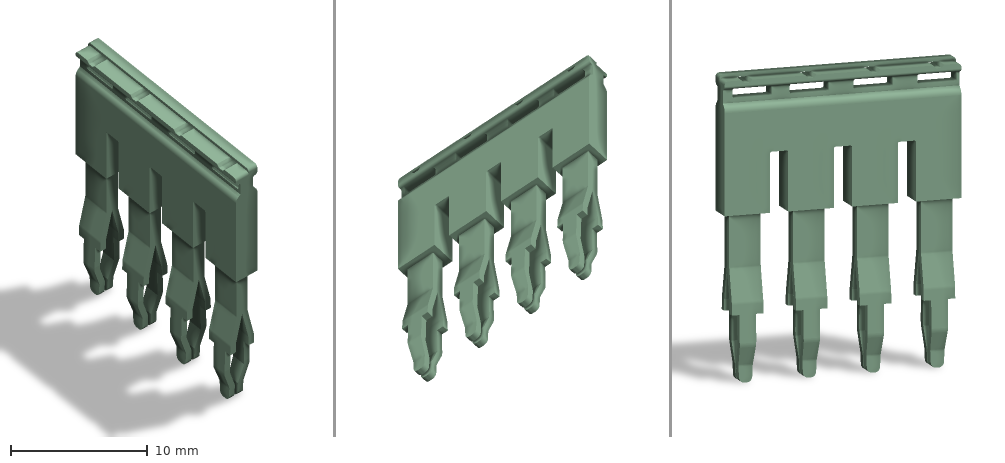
import cadquery as cq

length = 18.33
height = 23.03
tine_count = 4
tine_pitch = 4.95
first_tine_x = -tine_pitch * (tine_count - 1) / 2
tine_xs = [first_tine_x + i * tine_pitch for i in range(tine_count)]

housing_width = 2.03
housing_bottom = 12.67
neck_width = 1.2
ridge_width = 0.83
ledge_top = height - 0.25
head_bottom = height - 0.88
head_edge_radius = 0.23
head_corner_radius = 0.28
neck_bottom = height - 1.98
shoulder_slope = 0.15
shoulder_bottom = height - 2.63

cut_depth = 2 * housing_width

slot_width = 1.4
slot_top = height - 5.78
slot_corner_radius = 0.14

window_length = 3.02
window_height = 0.78
window_corner_radius = 0.14
first_window_shift = 0.53
window_xs = [tine_xs[0] + first_window_shift] + tine_xs[1:]

notch_top_width = 0.85
notch_floor_width = 0.41
notch_depth = 0.23

strip_thickness = 0.53
shank_half_width = strip_thickness
split_z = 8.64
upper_bend_half_width = 2.23 / 2
upper_bend_z = 6.08
belly_half_width = 2.42 / 2
belly_z = 2.9
tip_half_gap = 0.14
tip_half_width = tip_half_gap + strip_thickness
tip_bend_z = 1.31
bulge_radius = 0.92
return_bend_radius = 0.45

tine_width = 2.45
tine_shoulder_z = 5.2
prong_width = 1.3
taper_top_z = 3.25
tip_width = 1.0
tip_radius = 0.41


def make_housing():
    """Headed bar running along X, with a neck that is alike on both sides."""
    half = housing_width / 2
    neck = neck_width / 2
    neck_radius = half - neck - head_edge_radius
    slope_y = neck + shoulder_slope
    slope_z = neck_bottom - shoulder_slope
    profile = (
        cq.Workplane("YZ")
        .moveTo(0, housing_bottom)
        .lineTo(half, housing_bottom)
        .lineTo(half, shoulder_bottom)
        .tangentArcPoint((slope_y, slope_z), relative=False)
        .lineTo(neck, neck_bottom)
        .lineTo(neck, head_bottom - neck_radius)
        .tangentArcPoint((neck + neck_radius, head_bottom), relative=False)
        .tangentArcPoint((half, head_bottom + head_edge_radius), relative=False)
        .lineTo(half, height)
        .lineTo(0, height)
        .close()
    )
    side = profile.extrude(length / 2, both=True)
    return side.union(side.mirror("XZ"))


def head_end_envelope(top_z):
    """Block whose two upper end edges are rounded, used to trim the head at height top_z."""
    return (
        cq.Workplane("XY")
        .box(length, housing_width, top_z - housing_bottom, centered=(True, True, False))
        .edges("|Y and >Z")
        .fillet(head_corner_radius)
        .translate((0, 0, housing_bottom))
    )


def shape_head(housing):
    """Lower the -Y part of the head to a ledge and leave a ridge along its +Y part."""
    ledge_width = housing_width - ridge_width
    ledge = head_end_envelope(ledge_top).translate((0, -ridge_width, 0))
    ridge = head_end_envelope(height).translate((0, ledge_width, 0))
    return housing.intersect(ledge.union(ridge))


def make_slot(x):
    """Open-bottomed slot between two housing legs."""
    slot_height = slot_top - housing_bottom
    return (
        cq.Workplane("XY")
        .box(slot_width, cut_depth, slot_height, centered=(True, True, False))
        .edges("|Y and >Z")
        .fillet(slot_corner_radius)
        .translate((x, 0, housing_bottom))
    )


def make_window(x):
    """Rounded opening through the neck, directly below the head."""
    return (
        cq.Workplane("XY")
        .box(window_length, cut_depth, window_height)
        .edges("|Y")
        .fillet(window_corner_radius)
        .translate((x, 0, head_bottom - window_height / 2))
    )


def make_notch(x):
    """Tapered notch below the ledge level, passing under the top of the ridge."""
    floor_z = ledge_top - notch_depth
    return (
        cq.Workplane("XZ")
        .polyline([
            (x - notch_top_width / 2, ledge_top),
            (x + notch_top_width / 2, ledge_top),
            (x + notch_floor_width / 2, floor_z),
            (x - notch_floor_width / 2, floor_z),
        ])
        .close()
        .extrude(cut_depth / 2, both=True)
    )


def select_bend(y, z):
    """Selector for the single strip edge along X at the given bend."""
    reach = strip_thickness / 3
    return cq.selectors.BoxSelector(
        (-tine_width, y - reach, z - reach),
        (tine_width, y + reach, z + reach),
    )


def make_strip():
    """One bent strip on the +Y side, with its outward-facing bends rounded."""
    bends = [
        (shank_half_width, split_z, return_bend_radius),
        (upper_bend_half_width, upper_bend_z, bulge_radius),
        (belly_half_width, belly_z, bulge_radius),
        (tip_half_width, tip_bend_z, return_bend_radius),
    ]
    bend_points = [(y, z) for y, z, _ in bends]
    outer = [(shank_half_width, housing_bottom)] + bend_points + [(tip_half_width, 0)]
    inner = [(y - strip_thickness, z) for y, z in reversed(outer)]
    strip = cq.Workplane("YZ").polyline(outer + inner).close().extrude(tine_width / 2, both=True)
    for y, z, radius in bends:
        strip = strip.edges("|X").edges(select_bend(y, z)).fillet(radius)
    return strip


def make_tine():
    """Pair of strips trimmed to a shouldered, tapering outline with a rounded tip."""
    half_outline = [
        (tip_width / 2, 0),
        (prong_width / 2, taper_top_z),
        (prong_width / 2, tine_shoulder_z),
        (tine_width / 2, tine_shoulder_z),
        (tine_width / 2, housing_bottom),
    ]
    mirrored = [(-x, z) for x, z in reversed(half_outline)]
    outline = (
        cq.Workplane("XZ")
        .polyline(half_outline + mirrored)
        .close()
        .extrude(cut_depth / 2, both=True)
        .edges("|Y and <Z")
        .fillet(tip_radius)
    )
    strip = make_strip()
    return strip.union(strip.mirror("XZ")).intersect(outline)


housing = shape_head(make_housing())
for window_x in window_xs:
    housing = housing.cut(make_window(window_x))
for tine_x in tine_xs:
    housing = housing.cut(make_notch(tine_x))
for tine_x in tine_xs[:-1]:
    housing = housing.cut(make_slot(tine_x + tine_pitch / 2))

tine = make_tine()
result = housing
for tine_x in tine_xs:
    result = result.union(tine.translate((tine_x, 0, 0)))